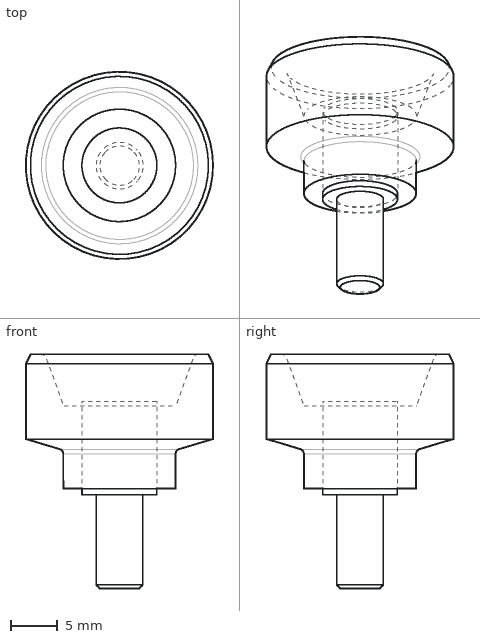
import cadquery as cq

TOTAL_HEIGHT = 25.0
STUD_LENGTH = 10.0

STUD_RADIUS = 2.5
STUD_TIP_CHAMFER = 0.4
CORE_RADIUS = 4.0
CORE_PROTRUSION = 0.65
CORE_RISE = 0.5

KNOB_RADIUS = 10.0
HUB_RADIUS = 6.0
HUB_HEIGHT = 4.1
NECK_FILLET = 0.5
CONE_HEIGHT = 1.2
RIM_CHAMFER_HEIGHT = 1.0
RIM_CHAMFER_WIDTH = 0.5

RECESS_DEPTH = 5.5
RECESS_FLOOR_RADIUS = 6.0
RECESS_MOUTH_RADIUS = 8.0
MOUTH_FILLET = 0.5

HUB_BOTTOM = STUD_LENGTH + CORE_PROTRUSION
CONE_BOTTOM = HUB_BOTTOM + HUB_HEIGHT
CONE_TOP = CONE_BOTTOM + CONE_HEIGHT
RECESS_FLOOR = TOTAL_HEIGHT - RECESS_DEPTH
CORE_TOP = RECESS_FLOOR + CORE_RISE


def make_knob():
    """Revolved knob with a dished top and a bore for the insert's core."""
    knob = (
        cq.Workplane("XZ")
        .moveTo(CORE_RADIUS, HUB_BOTTOM)
        .lineTo(HUB_RADIUS, HUB_BOTTOM)
        .lineTo(HUB_RADIUS, CONE_BOTTOM)
        .lineTo(KNOB_RADIUS, CONE_TOP)
        .lineTo(KNOB_RADIUS, TOTAL_HEIGHT - RIM_CHAMFER_HEIGHT)
        .lineTo(KNOB_RADIUS - RIM_CHAMFER_WIDTH, TOTAL_HEIGHT)
        .lineTo(RECESS_MOUTH_RADIUS, TOTAL_HEIGHT)
        .lineTo(RECESS_FLOOR_RADIUS, RECESS_FLOOR)
        .lineTo(CORE_RADIUS, RECESS_FLOOR)
        .close()
        .revolve(360, (0, 0, 0), (0, 1, 0))
    )
    neck = cq.selectors.NearestToPointSelector((0, 0, CONE_BOTTOM))
    knob = knob.edges("%CIRCLE").edges(neck).fillet(NECK_FILLET)
    mouth = cq.selectors.RadiusNthSelector(0)
    return knob.faces(">Z").edges(mouth).fillet(MOUTH_FILLET)


def make_insert():
    """Stud with a chamfered tip and a wider cylindrical core above it."""
    stud = cq.Workplane("XY").circle(STUD_RADIUS).extrude(STUD_LENGTH)
    stud = stud.faces("<Z").chamfer(STUD_TIP_CHAMFER)
    core = (
        cq.Workplane("XY", origin=(0, 0, STUD_LENGTH))
        .circle(CORE_RADIUS)
        .extrude(CORE_TOP - STUD_LENGTH)
    )
    return stud.union(core)


knob = make_knob()
insert = make_insert()
result = cq.Compound.makeCompound([knob.val(), insert.val()])